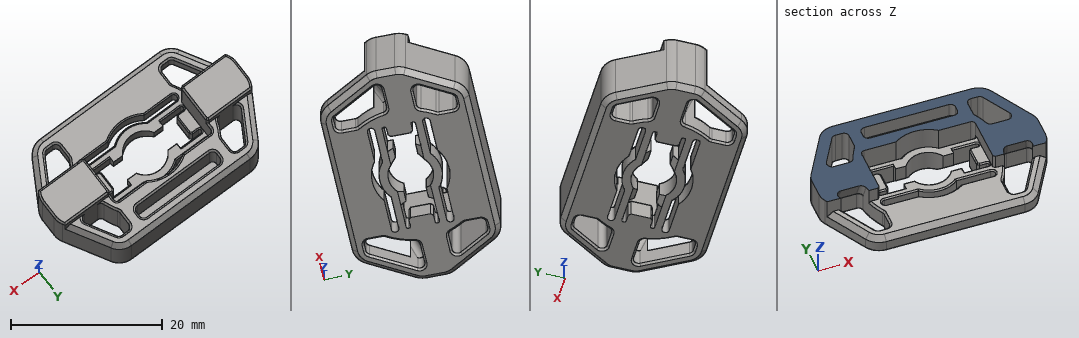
import cadquery as cq
import math

LENGTH = 32.0
WIDTH = 20.0
FLANK_ANGLE = math.radians(60)
END_FLAT_HALF = 2.0
CORNER_RADIUS = 2.75

PLATE_TOP = 3.0
BLOCK_TOP = 8.58
TOWER_TOP = 10.1

BODY_CHAMFER = 0.75
EDGE_CHAMFER = 0.3
SLOT_CHAMFER = 0.2

TOWER_HALF_WIDTH = 2.95
CAVITY_HALF_LENGTH = 8.0

HOLE_RADIUS = 3.0
RING_RADIUS = 4.2
SLOT_WIDTH = 1.0
STRIP_HALF_WIDTH = 3.23
SLOT_OUTER_Y = STRIP_HALF_WIDTH + SLOT_WIDTH
SLOT_OUTER_RADIUS = RING_RADIUS + SLOT_WIDTH
SLOT_END_RADIUS = SLOT_WIDTH / 2
SLOT_MIDDLE_Y = STRIP_HALF_WIDTH + SLOT_END_RADIUS
SLOT_STRAIGHT_HALF = CAVITY_HALF_LENGTH - SLOT_END_RADIUS

PINCH_HALF_LENGTH = 4.1
PINCH_HALF_WIDTH = 1.5
OPENING_HALF_LENGTH = 7.78
OPENING_HALF_WIDTH = 2.25
TAB_TIP_X = 6.25
TAB_HALF_WIDTH = 1.65
TAB_CORNER_CHAMFER = 0.32
TAB_GAP_RADIUS = 0.25

POCKET_HALF_LENGTH = 6.62
POCKET_Y_MIN = 6.2
POCKET_Y_MAX = 8.22
POCKET_RADIUS = 0.67
POCKET_FLOOR = PLATE_TOP

FLANK_WALL = 1.7
WINDOW_INNER_X = 8.4
WINDOW_OUTER_Y = 8.22
WINDOW_ARC_RADIUS = 10.0
WINDOW_RADIUS = 0.7
RECESS_END_Y = 1.0
RECESS_TOP = 8.95
RECESS_END_HEIGHT = 2.95

MARGIN = 1.6


def both_ends(body):
    """Return the body together with its mirror image across the YZ plane."""
    return body.union(body.mirror("YZ"))


def flank_x(y, inset=0.0):
    """X of the +X flank at height y, moved inward by inset along its normal."""
    return LENGTH / 2 - (y - END_FLAT_HALF) / math.tan(FLANK_ANGLE) - inset / math.sin(FLANK_ANGLE)


def body_prism(height):
    half_width = WIDTH / 2
    shoulder_x = flank_x(half_width)
    quarter = [(LENGTH / 2, END_FLAT_HALF), (shoulder_x, half_width)]
    upper = quarter + [(-x, y) for x, y in reversed(quarter)]
    outline = upper + [(-x, -y) for x, y in upper]
    prism = cq.Workplane("XY").polyline(outline).close().extrude(height)
    return prism.edges("|Z").fillet(CORNER_RADIUS).faces("<Z").chamfer(BODY_CHAMFER)


def block(x_range, y_range, z_range):
    (x0, x1), (y0, y1), (z0, z1) = x_range, y_range, z_range
    return cq.Workplane("XY").box(x1 - x0, y1 - y0, z1 - z0, centered=False).translate((x0, y0, z0))


def cutter(prism_of_height, bottom, top, chamfer):
    """Cutting body from bottom to top whose rim flares at 45 degrees by the chamfer."""
    prism = prism_of_height(top - chamfer - bottom).translate((0, 0, bottom))
    rim = prism.faces(">Z").wires().toPending()
    return rim.workplane().extrude(chamfer, taper=-45)


def bulged_side(path, straight_y, bulge_radius, direction):
    """Continue path along a strip side that bulges around the ring, toward +X or -X."""
    bulge_x = direction * math.sqrt(bulge_radius**2 - straight_y**2)
    return (
        path.lineTo(-bulge_x, straight_y)
        .threePointArc((0, bulge_radius), (bulge_x, straight_y))
        .lineTo(direction * SLOT_STRAIGHT_HALF, straight_y)
    )


def cavity_prism(height):
    """Open space between the towers, ending at the wall of the rear block."""
    path = cq.Workplane("XY").moveTo(-CAVITY_HALF_LENGTH, -WIDTH)
    path = path.lineTo(-CAVITY_HALF_LENGTH, SLOT_MIDDLE_Y)
    path = path.radiusArc((-SLOT_STRAIGHT_HALF, SLOT_OUTER_Y), SLOT_END_RADIUS)
    path = bulged_side(path, SLOT_OUTER_Y, SLOT_OUTER_RADIUS, 1)
    path = path.radiusArc((CAVITY_HALF_LENGTH, SLOT_MIDDLE_Y), SLOT_END_RADIUS)
    return path.lineTo(CAVITY_HALF_LENGTH, -WIDTH).close().extrude(height)


def slot_prism(height):
    path = cq.Workplane("XY").moveTo(-SLOT_STRAIGHT_HALF, SLOT_OUTER_Y)
    path = bulged_side(path, SLOT_OUTER_Y, SLOT_OUTER_RADIUS, 1)
    path = path.threePointArc((CAVITY_HALF_LENGTH, SLOT_MIDDLE_Y), (SLOT_STRAIGHT_HALF, STRIP_HALF_WIDTH))
    path = bulged_side(path, STRIP_HALF_WIDTH, RING_RADIUS, -1)
    path = path.threePointArc((-CAVITY_HALF_LENGTH, SLOT_MIDDLE_Y), (-SLOT_STRAIGHT_HALF, SLOT_OUTER_Y))
    return path.close().extrude(height)


def near_x(x):
    """Selector for edges centred close to the given x."""
    reach = 0.32
    return cq.selectors.BoxSelector((x - reach, -WIDTH, -LENGTH), (x + reach, WIDTH, LENGTH))


def tab_opening_prism(height):
    """The +X end of the central opening, running around the tab."""
    start_x = HOLE_RADIUS
    upper = [
        (start_x, OPENING_HALF_WIDTH),
        (OPENING_HALF_LENGTH, OPENING_HALF_WIDTH),
        (OPENING_HALF_LENGTH, TAB_HALF_WIDTH),
        (TAB_TIP_X, TAB_HALF_WIDTH),
    ]
    outline = upper + [(x, -y) for x, y in reversed(upper)]
    prism = cq.Workplane("XY").polyline(outline).close().extrude(height)
    prism = prism.edges("|Z").edges(near_x(OPENING_HALF_LENGTH)).fillet(TAB_GAP_RADIUS)
    return prism.edges("|Z").edges(near_x(TAB_TIP_X)).chamfer(TAB_CORNER_CHAMFER)


def pocket_prism(height):
    prism = block(
        (-POCKET_HALF_LENGTH, POCKET_HALF_LENGTH), (POCKET_Y_MIN, POCKET_Y_MAX), (0, height)
    )
    return prism.edges("|Z").fillet(POCKET_RADIUS)


def sharp_window(end_y, height):
    """Window in the +X +Y corner with unrounded edges."""
    shoulder_y = math.sqrt(WINDOW_ARC_RADIUS**2 - WINDOW_INNER_X**2)
    end_x = math.sqrt(WINDOW_ARC_RADIUS**2 - end_y**2)
    middle_y = (shoulder_y + end_y) / 2
    middle_x = math.sqrt(WINDOW_ARC_RADIUS**2 - middle_y**2)
    return (
        cq.Workplane("XY")
        .moveTo(WINDOW_INNER_X, WINDOW_OUTER_Y)
        .lineTo(WINDOW_INNER_X, shoulder_y)
        .threePointArc((middle_x, middle_y), (end_x, end_y))
        .lineTo(flank_x(end_y, FLANK_WALL), end_y)
        .lineTo(flank_x(WINDOW_OUTER_Y, FLANK_WALL), WINDOW_OUTER_Y)
        .close()
        .extrude(height)
    )


def rear_window_prism(height):
    """Window that ends at the rear face of the tower."""
    return sharp_window(TOWER_HALF_WIDTH, height).edges("|Z").fillet(WINDOW_RADIUS)


def front_window_prism(height):
    """Window that reaches under the tower, drawn on the +Y side."""
    return sharp_window(RECESS_END_Y, height).edges("|Z").fillet(WINDOW_RADIUS)


def recess():
    """Front window carried up into the tower under a sloped roof."""
    slope = (RECESS_TOP - RECESS_END_HEIGHT) / (TOWER_HALF_WIDTH - RECESS_END_Y)
    low_height = RECESS_END_HEIGHT - slope * RECESS_END_Y
    high_height = low_height + slope * WIDTH
    floor = low_height - MARGIN
    roof_profile = [(0, floor), (WIDTH, floor), (WIDTH, high_height), (0, low_height)]
    under_roof = cq.Workplane("YZ").polyline(roof_profile).close().extrude(LENGTH)
    carved = sharp_window(RECESS_END_Y, high_height).intersect(under_roof)
    return carved.edges("not(<Z or >Z)").fillet(WINDOW_RADIUS)


def towers():
    tower = body_prism(TOWER_TOP).intersect(
        block(
            (CAVITY_HALF_LENGTH, LENGTH),
            (-TOWER_HALF_WIDTH, TOWER_HALF_WIDTH),
            (0, TOWER_TOP),
        )
    )
    tower = tower.edges("|Z and <X").chamfer(EDGE_CHAMFER)
    return both_ends(tower.faces(">Z").chamfer(EDGE_CHAMFER))


def spring_slots():
    slot = cutter(slot_prism, 0, PLATE_TOP, SLOT_CHAMFER)
    rear_slot = slot.intersect(cavity_prism(PLATE_TOP))
    return rear_slot.union(slot.mirror("XZ"))


def window_feet():
    """Windows flared at the underside, cutting the bottom rims below the towers too."""
    rear_foot = cutter(rear_window_prism, 0, PLATE_TOP, EDGE_CHAMFER)
    front_foot = cutter(front_window_prism, 0, PLATE_TOP, EDGE_CHAMFER).mirror("XZ")
    feet = rear_foot.union(front_foot).mirror("XY").translate((0, 0, PLATE_TOP))
    return both_ends(feet)


def plate_and_rear_block():
    plate = body_prism(PLATE_TOP).faces(">Z").chamfer(BODY_CHAMFER)
    rear = body_prism(BLOCK_TOP).faces(">Z").chamfer(BODY_CHAMFER)
    rear = rear.intersect(block((-LENGTH, LENGTH), (0, WIDTH), (0, BLOCK_TOP)))
    body = plate.union(rear)
    body = body.cut(cutter(cavity_prism, PLATE_TOP, BLOCK_TOP, EDGE_CHAMFER))
    body = body.cut(cutter(pocket_prism, POCKET_FLOOR, BLOCK_TOP, EDGE_CHAMFER))

    rear_window = cutter(rear_window_prism, 0, BLOCK_TOP, EDGE_CHAMFER)
    front_window = cutter(front_window_prism, 0, PLATE_TOP, EDGE_CHAMFER).mirror("XZ")
    return body.cut(both_ends(rear_window)).cut(both_ends(front_window)).cut(spring_slots())


def pinch_lead_in():
    """45 degree widening of the pinch towards the underside."""
    lead_in_height = OPENING_HALF_WIDTH - PINCH_HALF_WIDTH
    profile = [
        (-OPENING_HALF_WIDTH, 0),
        (OPENING_HALF_WIDTH, 0),
        (PINCH_HALF_WIDTH, lead_in_height),
        (-PINCH_HALF_WIDTH, lead_in_height),
    ]
    return cq.Workplane("YZ").polyline(profile).close().extrude(PINCH_HALF_LENGTH, both=True)


def central_opening():
    pinch = block(
        (-PINCH_HALF_LENGTH, PINCH_HALF_LENGTH), (-PINCH_HALF_WIDTH, PINCH_HALF_WIDTH), (0, PLATE_TOP)
    )
    hole = cq.Workplane("XY").circle(HOLE_RADIUS).extrude(PLATE_TOP)
    tab_opening = cutter(tab_opening_prism, 0, PLATE_TOP, SLOT_CHAMFER)
    tab_opening = tab_opening.intersect(block((PINCH_HALF_LENGTH, LENGTH), (-WIDTH, WIDTH), (0, PLATE_TOP)))
    return pinch.union(pinch_lead_in()).union(hole).union(both_ends(tab_opening))


result = (
    plate_and_rear_block()
    .union(towers())
    .cut(central_opening())
    .cut(window_feet())
    .cut(both_ends(recess().mirror("XZ")))
)